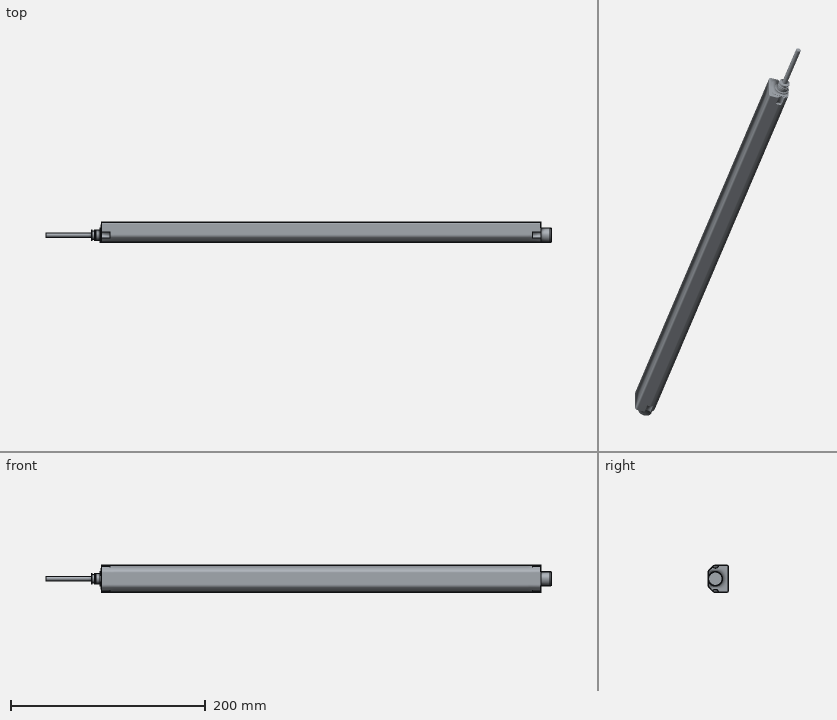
import cadquery as cq

total_length = 519.5
housing_depth = 20.99
housing_height = 28.0
housing_length = 451.5
cable_reach = 57.0
connector_reach = total_length - cable_reach - housing_length
half_height = housing_height / 2

bevel_leg = 6.0
bevel_round = 4.4
back_round = 2.0

cap_length = 12.5
groove_radius = 3.2
groove_length = 8.8
groove_axis_depth = 7.6

plate_thickness = 0.4
plate_half_height = 10.5
plate_front = 1.0
plate_back = 17.8
plate_corner = 2.0

axis_depth = 7.5
connector_diameter = 14.8
connector_chamfer_length = 1.5
connector_chamfer_depth = 0.5
flange_diameter = 14.8
flange_thickness = 1.2
flange_face = -(plate_thickness + flange_thickness)

cable_diameter = 5.0
relief_reach = 10.2
relief_diameter = 11.0
relief_neck_diameter = 9.0
relief_collar_thickness = 0.5
relief_neck_length = 2.8
relief_groove_offset = 1.0
relief_groove_width = 0.6
relief_groove_diameter = 10.0


def disc(x_start, x_end, diameter):
    """Round bar between two X positions on the shared axis."""
    plane = cq.Workplane("YZ", origin=(x_start, axis_depth, 0))
    return plane.circle(diameter / 2).extrude(x_end - x_start)


def profile_block(x_start, x_end):
    """Length of the housing profile between two X positions."""
    plane = cq.Workplane("YZ", origin=(x_start, housing_depth / 2, 0))
    block = plane.rect(housing_depth, housing_height).extrude(x_end - x_start)
    block = block.edges("|X and <Y").chamfer(bevel_leg)
    block = block.edges("|X and (not >Y)").fillet(bevel_round)
    return block.edges("|X and >Y").fillet(back_round)


def end_grooves(x_start):
    """Pair of round-bottomed grooves along X, one in the top and one in the bottom."""
    centers = [(groove_axis_depth, z) for z in (-half_height, half_height)]
    plane = cq.Workplane("YZ", origin=(x_start, 0, 0))
    return plane.pushPoints(centers).circle(groove_radius).extrude(groove_length)


def end_plate():
    """Raised plate with bevelled corners on the cable-side end face."""
    plate_width = plate_back - plate_front
    plane = cq.Workplane("YZ", origin=(0, (plate_front + plate_back) / 2, 0))
    plate = plane.rect(plate_width, 2 * plate_half_height).extrude(-plate_thickness)
    return plate.edges("|X").chamfer(plate_corner)


def make_connector():
    """Plug connector on the far end, with a slim chamfer round its rim."""
    connector = disc(housing_length, housing_length + connector_reach, connector_diameter)
    return connector.faces(">X").chamfer(connector_chamfer_length, connector_chamfer_depth)


def make_housing():
    """Profile with both end caps, keeping the seams where the caps meet the profile."""
    far_seam = housing_length - cap_length
    near_cap = profile_block(0, cap_length).cut(end_grooves(0))
    far_cap = profile_block(far_seam, housing_length).cut(end_grooves(housing_length - groove_length))
    near_cap = near_cap.union(end_plate()).union(disc(flange_face, 0, flange_diameter))
    far_cap = far_cap.union(make_connector())
    housing = profile_block(cap_length, far_seam)
    return housing.union(near_cap, clean=False).union(far_cap, clean=False)


def make_cable():
    """Cable with its strain relief: a collar, a neck and a grooved base."""
    neck_start = relief_collar_thickness - relief_reach
    base_start = neck_start + relief_neck_length
    groove_start = base_start + relief_groove_offset
    groove_end = groove_start + relief_groove_width
    cable = disc(-cable_reach, flange_face, cable_diameter)
    cable = cable.union(disc(-relief_reach, neck_start, relief_diameter))
    cable = cable.union(disc(neck_start, base_start, relief_neck_diameter))
    cable = cable.union(disc(base_start, groove_start, relief_diameter))
    cable = cable.union(disc(groove_start, groove_end, relief_groove_diameter))
    return cable.union(disc(groove_end, flange_face, relief_diameter))


housing = make_housing()
cable = make_cable()

result = cq.Compound.makeCompound([housing.solids().val(), cable.solids().val()])